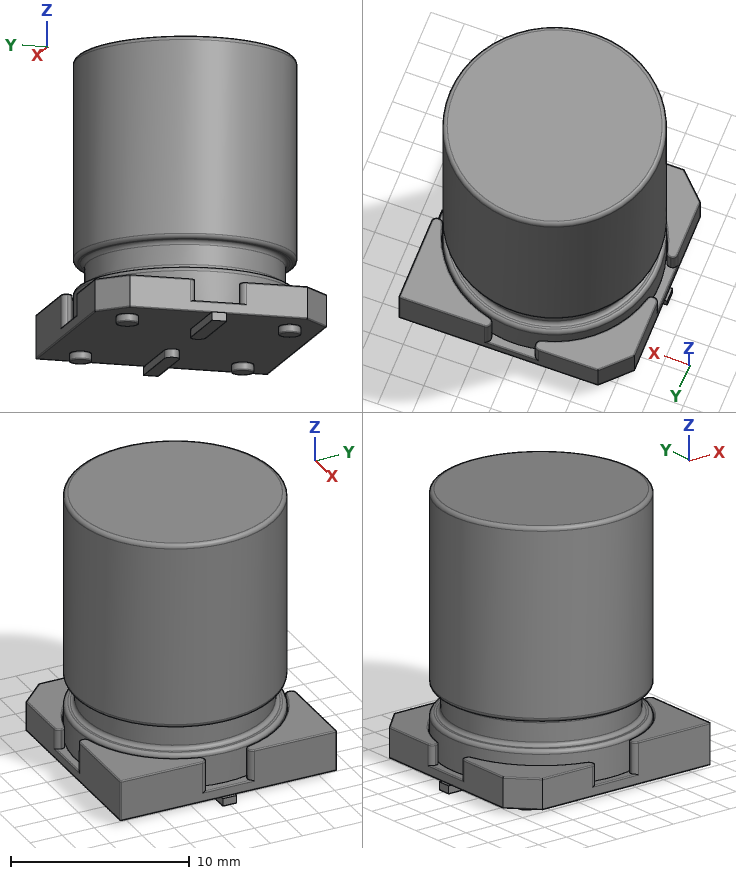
import cadquery as cq
import math

TOTAL_HEIGHT = 16.5
BASE_SIDE = 13.5
LEAD_SPAN = 13.8

BASE_BOTTOM = 0.48
NOTCH_FLOOR = 1.1
LOW_CORNER_TOP = 2.35
HIGH_CORNER_TOP = 3.0
CORNER_CHAMFER = 1.58
NOTCH_WIDTH = 2.65
NOTCH_OUTER_ROUND = 0.3
NOTCH_INNER_ROUND = 0.3
EDGE_ROUND = 0.07

CAN_RADIUS = 12.5 / 2
NECK_RADIUS = 11.25 / 2
SEAT_CLEARANCE = 0.07
CAN_ROUND = 0.25
GROOVE_BOTTOM = 2.97
GROOVE_TOP = 5.12

LEAD_WIDTH = 0.85
LEAD_INNER_END = 2.25
FOOT_DIAMETER = 1.25
FOOT_OFFSET = 4.72
FOOT_RIM_ROUND = 0.07

HALF_SIDE = BASE_SIDE / 2
SEAT_RADIUS = CAN_RADIUS + SEAT_CLEARANCE


def base_block(bottom, top):
    """Square block with rounded +X corners and chamfered -X corners."""
    return (
        cq.Workplane("XY", origin=(0, 0, bottom))
        .rect(BASE_SIDE, BASE_SIDE)
        .extrude(top - bottom)
        .edges("|Z and <X")
        .chamfer(CORNER_CHAMFER)
        .edges("|Z and >X")
        .fillet(EDGE_ROUND)
    )


def distance_from_axis(edge):
    """Distance of an edge midpoint from the Z axis."""
    middle = edge.Center()
    return math.hypot(middle.x, middle.y)


def raised_corner(x_sign, y_sign, top):
    """One corner of the base, separated by the notches and cut away around the can."""
    half_notch = NOTCH_WIDTH / 2
    quadrant = (
        cq.Workplane("XY")
        .box(HALF_SIDE, HALF_SIDE, top, centered=False)
        .translate((half_notch, half_notch, 0))
    )
    if x_sign < 0:
        quadrant = quadrant.mirror("YZ")
    if y_sign < 0:
        quadrant = quadrant.mirror("XZ")
    seat = cq.Workplane("XY").circle(SEAT_RADIUS).extrude(top)
    slab_middle = (BASE_BOTTOM + NOTCH_FLOOR) / 2
    corner = base_block(slab_middle, top).intersect(quadrant).cut(seat)

    outer_radius = math.hypot(HALF_SIDE, half_notch)
    return (
        corner.edges("|Z")
        .filter(lambda edge: abs(distance_from_axis(edge) - outer_radius) < EDGE_ROUND)
        .fillet(NOTCH_OUTER_ROUND)
        .edges("|Z")
        .filter(lambda edge: distance_from_axis(edge) < SEAT_RADIUS + EDGE_ROUND)
        .fillet(NOTCH_INNER_ROUND)
        .faces(">Z")
        .edges()
        .fillet(EDGE_ROUND)
    )


def base():
    """Floor slab with two low corners on -X and two high corners on +X."""
    body = base_block(BASE_BOTTOM, NOTCH_FLOOR).faces("<Z or >Z").edges().fillet(EDGE_ROUND)
    for x_sign, top in ((-1, LOW_CORNER_TOP), (1, HIGH_CORNER_TOP)):
        for y_sign in (-1, 1):
            body = body.union(raised_corner(x_sign, y_sign, top))
    return body


def can():
    """Revolved can with a rounded top and a groove rolled in above the base."""
    r = CAN_ROUND
    bend = r * math.sqrt(0.5)
    lip_radius = CAN_RADIUS - r
    root_radius = NECK_RADIUS + r
    lower_lip = GROOVE_BOTTOM + r
    upper_lip = GROOVE_TOP - r
    return (
        cq.Workplane("XZ")
        .moveTo(0, NOTCH_FLOOR)
        .lineTo(CAN_RADIUS, NOTCH_FLOOR)
        .lineTo(CAN_RADIUS, GROOVE_BOTTOM)
        .threePointArc((lip_radius + bend, GROOVE_BOTTOM + bend), (lip_radius, lower_lip))
        .lineTo(root_radius, lower_lip)
        .threePointArc((root_radius - bend, lower_lip + r - bend), (NECK_RADIUS, lower_lip + r))
        .lineTo(NECK_RADIUS, upper_lip - r)
        .threePointArc((root_radius - bend, upper_lip - r + bend), (root_radius, upper_lip))
        .lineTo(lip_radius, upper_lip)
        .threePointArc((lip_radius + bend, GROOVE_TOP - bend), (CAN_RADIUS, GROOVE_TOP))
        .lineTo(CAN_RADIUS, TOTAL_HEIGHT)
        .lineTo(0, TOTAL_HEIGHT)
        .close()
        .revolve(360, (0, 0, 0), (0, 1, 0))
        .faces(">Z")
        .edges()
        .fillet(CAN_ROUND)
    )


def leads():
    """Two flat leads along X, each with a half-round inner end."""
    half_width = LEAD_WIDTH / 2
    round_center = LEAD_INNER_END + half_width
    lead = (
        cq.Workplane("XY")
        .moveTo(LEAD_SPAN / 2, -half_width)
        .lineTo(LEAD_SPAN / 2, half_width)
        .lineTo(round_center, half_width)
        .threePointArc((LEAD_INNER_END, 0), (round_center, -half_width))
        .close()
        .extrude(BASE_BOTTOM)
    )
    return lead.union(lead.mirror("YZ"))


def feet():
    """Four round feet with softened rims at both ends."""
    return (
        cq.Workplane("XY")
        .rect(2 * FOOT_OFFSET, 2 * FOOT_OFFSET, forConstruction=True)
        .vertices()
        .circle(FOOT_DIAMETER / 2)
        .extrude(BASE_BOTTOM)
        .edges()
        .fillet(FOOT_RIM_ROUND)
    )


result = base().union(can()).union(leads()).union(feet())